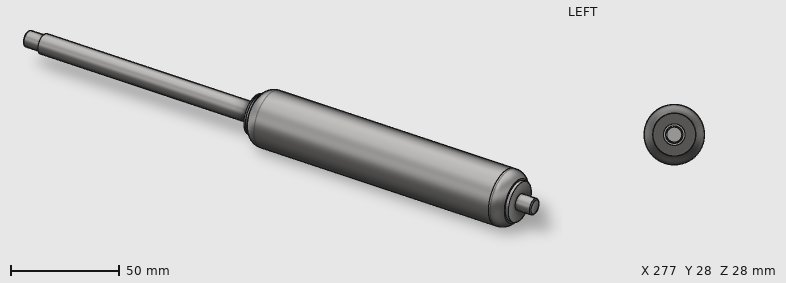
import cadquery as cq
import math

TOTAL_LENGTH = 277.0

CYLINDER_DIAMETER = 28.0
SHOULDER_RADIUS = 6.6
TUBE_START = 126.3
TUBE_FACE_DIAMETER = 20.0
TUBE_END = 260.5
CAP_FACE = 267.0
CAP_FACE_DIAMETER = 21.5

GUIDE_FLANGE_DIAMETER = TUBE_FACE_DIAMETER
GUIDE_DIAMETER = 19.7
GUIDE_START = 124.5
GUIDE_FLANGE_THICKNESS = 0.8
GUIDE_FLANGE_END = GUIDE_START + GUIDE_FLANGE_THICKNESS
GUIDE_SEAT_DEPTH = 5.8
GUIDE_END = TUBE_START + GUIDE_SEAT_DEPTH

BOSS_DIAMETER = 20.0
BOSS_END = 268.7

ROD_DIAMETER = 10.0
STUD_DIAMETER = 8.0
ROD_STUD_LENGTH = 9.0
TIP_CHAMFER = 0.5


def round_bar(start, end, diameter):
    """Solid bar on the X axis between two X positions."""
    return cq.Workplane("YZ", origin=(start, 0, 0)).circle(diameter / 2).extrude(end - start)


def rounded_bar(face, face_diameter, flat_end):
    """Full-diameter bar whose shoulder curves in to a smaller flat face at X = face.

    The shoulder arc is tangent to the cylinder wall and stops where it reaches the face diameter.
    """
    wall_radius = CYLINDER_DIAMETER / 2
    face_radius = face_diameter / 2
    arc_center_offset = SHOULDER_RADIUS - (wall_radius - face_radius)
    shoulder_length = math.sqrt(SHOULDER_RADIUS**2 - arc_center_offset**2)
    direction = 1 if flat_end > face else -1
    shoulder = face + direction * shoulder_length
    profile = (
        cq.Workplane("XY")
        .moveTo(flat_end, 0)
        .lineTo(flat_end, wall_radius)
        .lineTo(shoulder, wall_radius)
        .radiusArc((face, face_radius), -direction * SHOULDER_RADIUS)
        .lineTo(face, 0)
        .close()
    )
    return profile.revolve(360, (0, 0, 0), (1, 0, 0))


def make_tube():
    """Cylinder tube with a rounded front shoulder and a seat for the guide."""
    body = rounded_bar(TUBE_START, TUBE_FACE_DIAMETER, TUBE_END)
    guide_seat = round_bar(TUBE_START, GUIDE_END, GUIDE_DIAMETER)
    return body.cut(guide_seat)


def make_guide():
    """Flanged ring in the front seat that the piston rod passes through."""
    flange = round_bar(GUIDE_START, GUIDE_FLANGE_END, GUIDE_FLANGE_DIAMETER)
    plug = round_bar(GUIDE_FLANGE_END, GUIDE_END, GUIDE_DIAMETER)
    rod_hole = round_bar(GUIDE_START, GUIDE_END, ROD_DIAMETER)
    return flange.union(plug).cut(rod_hole)


def make_rod():
    """Piston rod, ending at the floor of the guide seat, with a reduced stud at its tip."""
    shaft = round_bar(ROD_STUD_LENGTH, GUIDE_END, ROD_DIAMETER)
    stud = round_bar(0, ROD_STUD_LENGTH, STUD_DIAMETER)
    stud = stud.faces("<X").chamfer(TIP_CHAMFER)
    return shaft.union(stud)


def make_end_cap():
    """Rounded end cap with a round boss and its mounting stud."""
    cap = rounded_bar(CAP_FACE, CAP_FACE_DIAMETER, TUBE_END)
    boss = round_bar(CAP_FACE, BOSS_END, BOSS_DIAMETER)
    stud = round_bar(BOSS_END, TOTAL_LENGTH, STUD_DIAMETER)
    stud = stud.faces(">X").chamfer(TIP_CHAMFER)
    return cap.union(boss).union(stud)


tube = make_tube()
guide = make_guide()
rod = make_rod()
end_cap = make_end_cap()

result = cq.Compound.makeCompound([body.solids().val() for body in (tube, guide, rod, end_cap)])